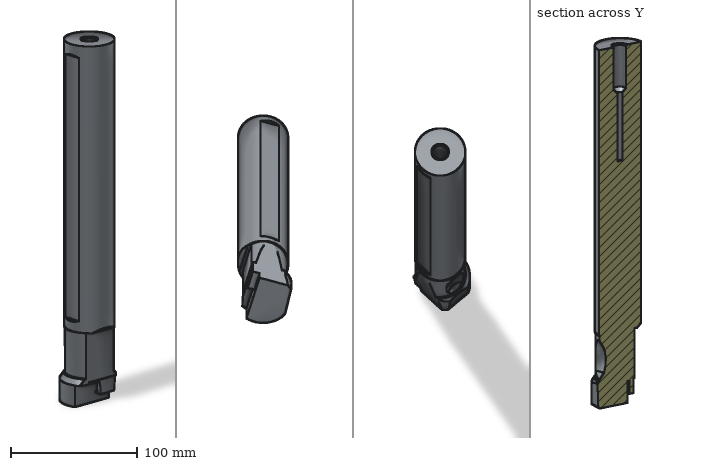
import cadquery as cq

total_length = 299.0
shank_bottom = 61.0
collar_top = 23.3
collar_shoulder = 22.7
collar_bottom = 18.0

shank_radius = 20.0
neck_radius = 19.5
shoulder_radius = 20.3
head_radius = 23.5
clearance = 59.8

flat_distance = 18.5
flat_bottom = 70.5
flat_top = 288.8

bore_radius = 5.7
bore_depth = 36.0
bore_chamfer = 1.2
drill_tip_height = 3.3
pilot_radius = 2.0
pilot_depth = 59.8

head_side_top = -21.5
head_side_bottom = -20.5
head_side_turn = 4.0
corner_start = (-21.0, 9.3)
corner_middle = (-16.7, 14.0)
corner_end = (-12.0, 16.0)
head_side_fillet = 2.7

back_y_bottom = 14.5
back_y_top = 19.5

pocket_wall_x = 13.8
pocket_bend_y = -8.5
pocket_lip_x = 10.5
runout_start_x = 16.0
runout_top = 64.3

seat_wall_x = 7.2
seat_face_y = 0.0
seat_floor_x = 13.0
seat_bottom = 7.2
seat_side_top = 19.7
seat_ramp_bottom = 13.5
seat_ramp_depth = 1.2
relief_width = 1.8
relief_depth = 3.0
relief_bottom = 8.7

dimple_y = 1.8
dimple_bottom = 24.2
dimple_arc_bottom = 29.0
dimple_arc_top = 49.5
dimple_top = 56.8
dimple_depth = 6.0
dimple_arc_end_depth = 4.2
dimple_radius = 12.0


def cylinder(radius, bottom, top):
    return cq.Workplane("XY").workplane(offset=bottom).circle(radius).extrude(top - bottom)


def make_shank():
    shank = cylinder(shank_radius, shank_bottom, total_length)
    ramp = shank_radius - flat_distance
    flat_cutter = (
        cq.Workplane("YZ")
        .moveTo(flat_distance, flat_bottom)
        .lineTo(flat_distance, flat_top)
        .lineTo(shank_radius, flat_top + ramp)
        .lineTo(shank_radius, flat_bottom - ramp)
        .close()
        .extrude(shank_radius, both=True)
    )
    return shank.cut(flat_cutter).cut(flat_cutter.mirror("XZ"))


def make_end_bore():
    """Chamfered blind hole with a drill tip and a narrower pilot hole on the axis."""
    bore_bottom = total_length - bore_depth
    tip_bottom = bore_bottom - drill_tip_height
    pilot_bottom = bore_bottom - pilot_depth
    return (
        cq.Workplane("XZ")
        .moveTo(0, total_length)
        .lineTo(bore_radius + bore_chamfer, total_length)
        .lineTo(bore_radius, total_length - bore_chamfer)
        .lineTo(bore_radius, bore_bottom)
        .lineTo(pilot_radius, tip_bottom)
        .lineTo(pilot_radius, pilot_bottom)
        .lineTo(0, pilot_bottom)
        .close()
        .revolve(360, (0, 0), (0, 1))
    )


def make_head():
    """Head disc with a conical collar, trimmed by the drafted side and the rounded corner."""
    disc = (
        cq.Workplane("XZ")
        .lineTo(head_radius, 0)
        .lineTo(head_radius, collar_bottom)
        .lineTo(shoulder_radius, collar_shoulder)
        .lineTo(neck_radius, collar_top)
        .lineTo(0, collar_top)
        .close()
        .revolve(360, (0, 0), (0, 1))
    )
    side_trim = (
        cq.Workplane("XZ")
        .moveTo(head_side_bottom, 0)
        .lineTo(head_side_top, collar_top)
        .lineTo(clearance, collar_top)
        .lineTo(clearance, 0)
        .close()
        .extrude(clearance, both=True)
        .faces("<Z")
        .edges("<X")
        .fillet(head_side_fillet)
        .rotate((0, 0, 0), (0, 0, 1), -head_side_turn)
    )
    corner_trim = (
        cq.Workplane("XY")
        .moveTo(-head_radius, -clearance)
        .lineTo(-head_radius, corner_start[1])
        .lineTo(*corner_start)
        .threePointArc(corner_middle, corner_end)
        .lineTo(clearance, corner_end[1])
        .lineTo(clearance, -clearance)
        .close()
        .extrude(collar_top)
    )
    return disc.intersect(side_trim).intersect(corner_trim)


def make_back_slope():
    return (
        cq.Workplane("YZ")
        .moveTo(back_y_bottom, 0)
        .lineTo(back_y_top, shank_bottom)
        .lineTo(clearance, shank_bottom)
        .lineTo(clearance, 0)
        .close()
        .extrude(clearance, both=True)
    )


def make_chip_pocket():
    """Wall parallel to the axis, angled near the -Y side, with a slanted runout in the shank."""
    straight = (
        cq.Workplane("XY")
        .moveTo(pocket_lip_x, -head_radius)
        .lineTo(pocket_wall_x, pocket_bend_y)
        .lineTo(pocket_wall_x, head_radius)
        .lineTo(clearance, head_radius)
        .lineTo(clearance, -head_radius)
        .close()
        .extrude(shank_bottom)
    )
    runout = (
        cq.Workplane("XZ")
        .moveTo(runout_start_x, shank_bottom)
        .lineTo(shank_radius, runout_top)
        .lineTo(clearance, runout_top)
        .lineTo(clearance, shank_bottom)
        .close()
        .extrude(clearance, both=True)
    )
    return straight.union(runout)


def block(x_range, y_range, z_range):
    sizes = [high - low for low, high in (x_range, y_range, z_range)]
    return cq.Workplane("XY").box(*sizes, centered=False).translate((x_range[0], y_range[0], z_range[0]))


def make_insert_seat():
    """Notch that leaves a backing block behind the insert, with a ramp and a corner relief."""
    front_notch = (
        cq.Workplane("YZ")
        .workplane(offset=seat_wall_x)
        .moveTo(-clearance, 0)
        .lineTo(seat_face_y, 0)
        .lineTo(seat_face_y, seat_ramp_bottom)
        .lineTo(seat_face_y - seat_ramp_depth, collar_bottom)
        .lineTo(-clearance, collar_bottom)
        .close()
        .extrude(clearance)
    )
    below = block((seat_wall_x, clearance), (-clearance, clearance), (0, seat_bottom))
    beside = block((seat_floor_x, clearance), (-clearance, clearance), (0, seat_side_top))
    relief = block(
        (seat_wall_x, seat_wall_x + relief_width),
        (seat_face_y - seat_ramp_depth, seat_face_y + relief_depth),
        (relief_bottom, collar_bottom),
    )
    return front_notch.union(below).union(beside).union(relief)


def make_dimple():
    """Scoop turned about an axis parallel to Z, with a curved floor and conical ends."""
    floor_x = -neck_radius + dimple_depth
    arc_end_x = -neck_radius + dimple_arc_end_depth
    axis_x = floor_x - dimple_radius
    arc_middle_z = (dimple_arc_bottom + dimple_arc_top) / 2
    return (
        cq.Workplane("XZ", origin=(0, dimple_y, 0))
        .moveTo(axis_x, dimple_bottom)
        .lineTo(-neck_radius, dimple_bottom)
        .lineTo(arc_end_x, dimple_arc_bottom)
        .threePointArc((floor_x, arc_middle_z), (arc_end_x, dimple_arc_top))
        .lineTo(-neck_radius, dimple_top)
        .lineTo(axis_x, dimple_top)
        .close()
        .revolve(360, (axis_x, 0), (axis_x, 1))
    )


neck = cylinder(neck_radius, collar_bottom, shank_bottom)
lower_end = neck.union(make_head()).cut(make_back_slope()).cut(make_dimple())
result = make_shank().union(lower_end)
result = result.cut(make_chip_pocket()).cut(make_insert_seat()).cut(make_end_bore())